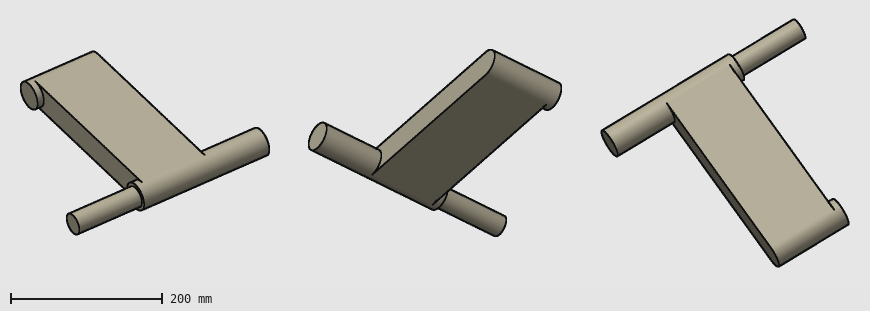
import cadquery as cq

axis_spacing = 250.0
barrel_diameter = 40.0
spindle_diameter = 30.0
arm_width = 100.0
front_overhang = 10.0
rear_extension = 90.0
spindle_length = 100.0

barrel_front = 0.0
arm_front = barrel_front + front_overhang
arm_rear = arm_front + arm_width
long_barrel_rear = arm_rear + rear_extension
spindle_tip = barrel_front - spindle_length

short_barrel_x = 0.0
long_barrel_x = short_barrel_x + axis_spacing


def rod(diameter, x, front, rear):
    """Solid cylinder along Y, from front to rear, with its axis at the given X and Z = 0."""
    return (
        cq.Workplane("XZ", origin=(x, front, 0))
        .circle(diameter / 2)
        .extrude(-(rear - front))
    )


def arm():
    """Flat arm as thick as the barrels, spanning from one barrel axis to the other."""
    return (
        cq.Workplane("XY")
        .box(axis_spacing, arm_width, barrel_diameter, centered=(False, False, True))
        .translate((short_barrel_x, arm_front, 0))
    )


short_barrel = rod(barrel_diameter, short_barrel_x, barrel_front, arm_rear)
long_barrel = rod(barrel_diameter, long_barrel_x, barrel_front, long_barrel_rear)
spindle = rod(spindle_diameter, long_barrel_x, spindle_tip, barrel_front)

result = arm().union(short_barrel).union(long_barrel).union(spindle)